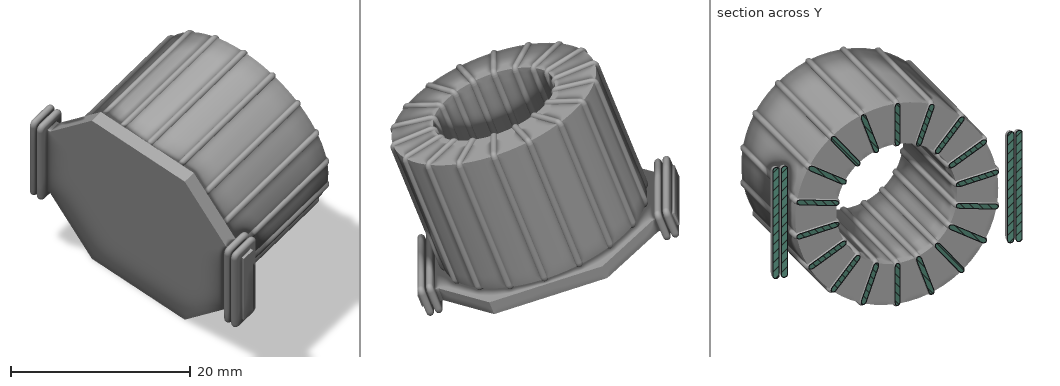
import cadquery as cq

plate_length = 30.5
plate_height = 25.4
octagon_half_width = 12.75
flat_half_width = 6.7
tab_height = 11.25
plate_thickness = 1.6

lead_diameter = 0.8
lead_pitch = 1.0
lead_overhang = 1.13
lead_tab_inset = 1.22

core_outer_radius = 12.15
core_inner_radius = 7.23

winding_count = 18
winding_diameter = 0.75
winding_depth = 17.35

winding_radius = winding_diameter / 2
core_depth = winding_depth - winding_diameter
core_front = plate_thickness + winding_radius


def wire_turn(width, height, diameter):
    """One flat turn of round wire with a filled middle, centred on the origin.

    width is along local X, height along local Y, both over the wire; the wire diameter is along local Z.
    """
    radius = diameter / 2
    centre_width = width - diameter
    centre_height = height - diameter
    middle = (
        cq.Workplane("XY")
        .rect(centre_width, centre_height)
        .extrude(diameter)
        .edges("|Z").fillet(radius)
        .translate((0, 0, -radius))
    )
    centreline = middle.section().wires()
    rim = (
        cq.Workplane("XZ", origin=(centre_width / 2, 0, 0))
        .moveTo(0, -radius)
        .threePointArc((radius, 0), (0, radius))
        .close()
        .sweep(centreline)
    )
    return middle.union(rim)


def make_plate():
    tab_x = plate_length / 2
    tab_z = tab_height / 2
    edge_z = plate_height / 2
    outline = [
        (tab_x, -tab_z),
        (tab_x, tab_z),
        (octagon_half_width, tab_z),
        (flat_half_width, edge_z),
        (-flat_half_width, edge_z),
        (-octagon_half_width, tab_z),
        (-tab_x, tab_z),
        (-tab_x, -tab_z),
        (-octagon_half_width, -tab_z),
        (-flat_half_width, -edge_z),
        (flat_half_width, -edge_z),
        (octagon_half_width, -tab_z),
    ]
    return cq.Workplane("XZ").polyline(outline).close().extrude(-plate_thickness)


def make_base():
    """Plate with its wrapped leads."""
    turn_y = plate_thickness + 2 * lead_overhang
    turn_z = tab_height + 2 * lead_overhang
    lead_turn = (
        wire_turn(turn_z, turn_y, lead_diameter)
        .rotate((0, 0, 0), (0, 1, 0), 90)
        .translate((0, plate_thickness / 2, 0))
    )
    base = make_plate()
    pair_x = plate_length / 2 - lead_tab_inset
    for side in (-1, 1):
        for step in (-0.5, 0.5):
            base = base.union(lead_turn.translate((side * pair_x + step * lead_pitch, 0, 0)))
    return base


def make_wound_core():
    """Ring core with its evenly spaced winding turns."""
    core = (
        cq.Workplane("XZ", origin=(0, core_front, 0))
        .circle(core_outer_radius)
        .circle(core_inner_radius)
        .extrude(-core_depth)
    )
    turn_width = core_outer_radius - core_inner_radius + winding_diameter
    winding_turn = (
        wire_turn(turn_width, winding_depth, winding_diameter)
        .translate(((core_outer_radius + core_inner_radius) / 2, core_front + core_depth / 2, 0))
    )
    turns = []
    for index in range(winding_count):
        angle = 90 + index * 360 / winding_count
        turns.append(winding_turn.rotate((0, 0, 0), (0, 1, 0), angle).val())
    return cq.Workplane(core.val().fuse(*turns))


base = make_base()
wound_core = make_wound_core()

result = cq.Compound.makeCompound([base.solids().val(), wound_core.solids().val()])